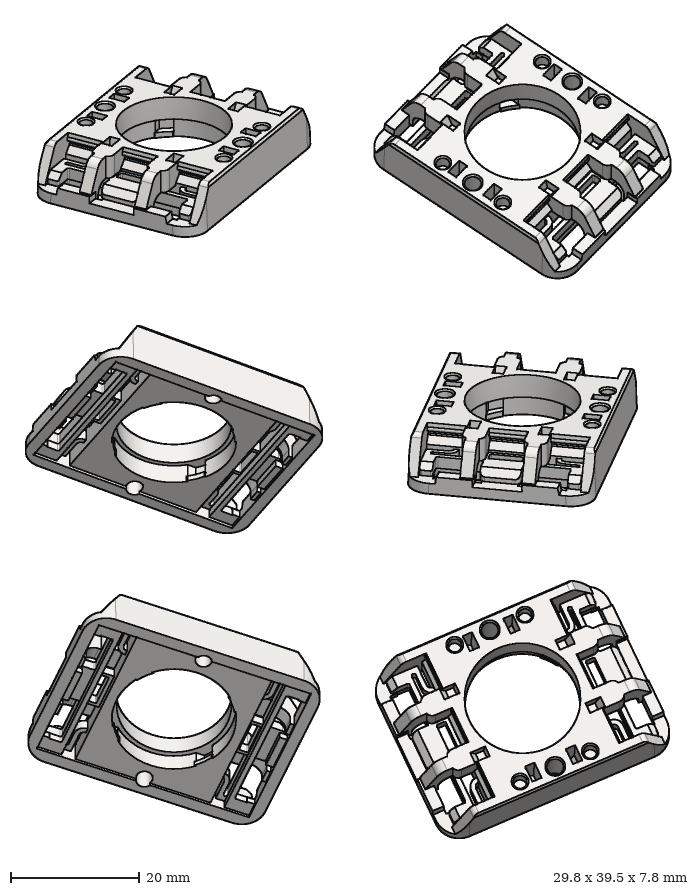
import cadquery as cq
import math

LENGTH = 39.5
WIDTH = 29.8
HEIGHT = 7.8
HALF_LENGTH = LENGTH / 2
HALF_WIDTH = WIDTH / 2
CORNER_RADIUS = 3.95
SIDE_DRAFT = 0.28
TOP_CHAMFER_WIDTH = 0.28
TOP_CHAMFER_HEIGHT = 0.47

SLOPE_ANGLE = math.radians(61.3)
WALL_FOOT_Y = 17.95
WALL_ROUND_RADIUS = 1.1
RIB_FOOT_Y = 19.3
RIB_TOE_HEIGHT = 0.1
RIB_ROUND_RADIUS = 1.98

OPENING_HALF_WIDTH = 12.9
OPENING_OUTER_Y = 17.8
BACK_WALL_Y = 11.35
LOW_RAIL_Z = 1.8
HIGH_RAIL_Z = 3.0
RAIL_NOTCH_HALF_WIDTH = 3.95
RAIL_OUTER_X = 9.65
RAIL_END_LEAN = 0.25

LIP_TOP_Y = 10.63
LIP_FACE_Y = 10.75
LIP_FACE_Z = 7.07
LIP_NOSE_Y = 10.9
LIP_NOSE_Z = 6.8
LIP_UNDER_Z = 6.32
GROOVE_Y = 10.15
GROOVE_BOTTOM_Z = 5.75
RAMP_TOP_Y = 10.27
RAMP_TOP_Z = 5.5
RAMP_FOOT_Z = 4.35

RIB_SPACING = 9.85
RIB_X = RIB_SPACING / 2
RIB_WIDTH = 2.1
RIB_HALF_WIDTH = RIB_WIDTH / 2
RIB_ROOT_WIDTH = 3.67
RIB_ROOT_HALF_WIDTH = RIB_ROOT_WIDTH / 2
RIB_ROOT_RADIUS = 1.22
RIB_ROOT_Y = 13.5
RIB_START_Y = 9.88
RIB_LEG_Y = 17.15
RIB_LEG_RADIUS = 2.05

LATCH_TOP_Z = 3.95
LATCH_BOTTOM_Z = 1.98
LATCH_HALF_WIDTH = 12.8
BAR_INNER_Y = 13.65
BAR_OUTER_Y = 14.55
NOSE_START_Y = 16.47
ARM_INNER_X = 10.75
ARM_TIP_Y = 17.55
ARM_CORNER_RADIUS = 0.3
TONGUE_WIDTH = 6.45
TONGUE_HALF_WIDTH = TONGUE_WIDTH / 2
TONGUE_TIP_Y = 17.65
TONGUE_CORNER_RADIUS = 0.8
CORNER_REACH = 0.05
WINDOW_HALF_WIDTH = 2.7
WINDOW_INNER_Y = 11.95
WINDOW_OUTER_Y = 13.5
WINDOW_CORNER_RADIUS = 0.2
SLOT_END_X = 11.85
BAR_CORNER_RADIUS = 0.28
SPRING_INNER_Y = 12.15
SPRING_OUTER_Y = 13.0
SPRING_TIP_X = 7.75
SPRING_OUTER_RADIUS = 1.58

PAD_INNER_Y = 16.6
CORNER_PAD_X = 10.6
CENTRE_PAD_HALF_WIDTH = 2.9

BORE_TOP_RADIUS = 9.05
BORE_RADIUS = 8.93
LOWER_BORE_RADIUS = 9.68
LOWER_BORE_TOP_Z = 3.95

NOTCH_INNER_X = 4.8
NOTCH_OUTER_X = 7.1
NOTCH_RADIUS = 10.65
LUG_RADIUS = 9.48
LUG_TOP_Z = 1.5

UNDERSIDE_Z = 0.55

HOLE_X = 12.32
HOLE_RADIUS = 1.3
HOLE_RIM_RADIUS = 1.58
DIMPLE_Y = 6.0
DIMPLE_RADIUS = 1.05
DIMPLE_RIM_RADIUS = 1.35
DIMPLE_DEPTH = 2.37

POCKET_X = 11.77
POCKET_WIDTH = 2.73
POCKET_INNER_Y = 2.7
POCKET_OUTER_Y = 4.25
POCKET_DEPTH = 5.53
POCKET_TAPER = 3.0

SNAP_X = 5.7
SNAP_WIDTH = 1.75
SNAP_FLOOR_Z = 6.05
SNAP_INNER_Y = 8.57
SNAP_FLOOR_INNER_Y = 8.85
SNAP_FLOOR_OUTER_Y = 10.2
SNAP_OUTER_Y = 11.15


def box(x_range, y_range, z_range):
    """A box between two limits along each axis."""
    lows, highs = zip(x_range, y_range, z_range)
    sizes = [high - low for low, high in zip(lows, highs)]
    return cq.Workplane("XY").box(*sizes, centered=False).translate(lows)


def across(profile, half_width, centre_x=0.0):
    """Extrude a closed (Y, Z) profile along X, to half_width on each side of centre_x."""
    return profile.extrude(half_width, both=True).translate((centre_x, 0, 0))


def both_ends(body):
    """A body at the +Y end with its mirror image at the -Y end."""
    return body.union(body.mirror("XZ"))


def both_sides(body):
    """A body at the +X side with its mirror image at the -X side."""
    return body.union(body.mirror("YZ"))


def sloped_end(sketch, foot_y, foot_z, radius):
    """Continue a (Y, Z) outline up an end slope from its foot and round it into the top face."""
    crest_y = foot_y - (HEIGHT - foot_z) / math.tan(SLOPE_ANGLE)
    tangent = radius * math.tan(SLOPE_ANGLE / 2)
    slope_end = (crest_y + tangent * math.cos(SLOPE_ANGLE), HEIGHT - tangent * math.sin(SLOPE_ANGLE))
    centre_y = crest_y - tangent
    half_angle = SLOPE_ANGLE / 2
    middle = (
        centre_y + radius * math.sin(half_angle),
        HEIGHT - radius + radius * math.cos(half_angle),
    )
    return sketch.lineTo(foot_y, foot_z).lineTo(*slope_end).threePointArc(middle, (centre_y, HEIGHT))


def round_bar_corners(body):
    """Fillet the vertical inside corners along the outer edge of a latch bar or cross bar."""
    inner_corners = cq.selectors.BoxSelector(
        (-LATCH_HALF_WIDTH, BAR_OUTER_Y - CORNER_REACH, 0),
        (LATCH_HALF_WIDTH, BAR_OUTER_Y + CORNER_REACH, HEIGHT),
    )
    return body.edges("|Z").edges(inner_corners).fillet(BAR_CORNER_RADIUS)


def shell_blank():
    """Rounded slab with leaning long sides, chamfered top edges and sloped ends."""
    top_half_width = HALF_WIDTH - SIDE_DRAFT
    bottom = cq.Sketch().rect(WIDTH, LENGTH).vertices().fillet(CORNER_RADIUS)
    top = cq.Sketch().rect(2 * top_half_width, LENGTH).vertices().fillet(CORNER_RADIUS)
    slab = cq.Workplane("XY").placeSketch(bottom, top.moved(cq.Location(cq.Vector(0, 0, HEIGHT)))).loft()

    chamfer_x = top_half_width - TOP_CHAMFER_WIDTH
    outer_x = HALF_WIDTH + TOP_CHAMFER_WIDTH
    outer_z = HEIGHT - (outer_x - chamfer_x) * TOP_CHAMFER_HEIGHT / TOP_CHAMFER_WIDTH
    section = (
        cq.Workplane("XZ")
        .polyline([
            (-outer_x, 0), (outer_x, 0), (outer_x, outer_z),
            (chamfer_x, HEIGHT), (-chamfer_x, HEIGHT), (-outer_x, outer_z),
        ])
        .close()
        .extrude(HALF_LENGTH, both=True)
    )
    half = cq.Workplane("YZ").moveTo(0, 0).lineTo(HALF_LENGTH, 0).lineTo(HALF_LENGTH, LOW_RAIL_Z)
    half = sloped_end(half, WALL_FOOT_Y, LOW_RAIL_Z, WALL_ROUND_RADIUS).lineTo(0, HEIGHT).close()
    ends = both_ends(across(half, HALF_WIDTH))
    return slab.intersect(section).intersect(ends)


def end_opening():
    """Space cut out at the +Y end, with a snap lip, groove and ramp down its back wall."""
    profile = (
        cq.Workplane("YZ")
        .moveTo(OPENING_OUTER_Y, 0)
        .lineTo(BACK_WALL_Y, 0)
        .lineTo(BACK_WALL_Y, RAMP_FOOT_Z)
        .lineTo(RAMP_TOP_Y, RAMP_TOP_Z)
        .lineTo(GROOVE_Y, GROOVE_BOTTOM_Z)
        .lineTo(GROOVE_Y, LIP_UNDER_Z)
        .lineTo(LIP_TOP_Y, LIP_UNDER_Z)
        .threePointArc((LIP_NOSE_Y, LIP_NOSE_Z), (LIP_FACE_Y, LIP_FACE_Z))
        .lineTo(LIP_TOP_Y, HEIGHT)
        .lineTo(WALL_FOOT_Y, HEIGHT)
        .lineTo(WALL_FOOT_Y, LOW_RAIL_Z)
        .lineTo(OPENING_OUTER_Y, LOW_RAIL_Z)
        .close()
    )
    return across(profile, OPENING_HALF_WIDTH)


def rail_block():
    """Raised part of the +Y rail on the +X side, between the tongue notch and the corner."""
    return (
        cq.Workplane("XZ", origin=(0, HALF_LENGTH, 0))
        .polyline([
            (RAIL_NOTCH_HALF_WIDTH, 0),
            (RAIL_OUTER_X + RAIL_END_LEAN, 0),
            (RAIL_OUTER_X + RAIL_END_LEAN, LOW_RAIL_Z),
            (RAIL_OUTER_X, HIGH_RAIL_Z),
            (RAIL_NOTCH_HALF_WIDTH, HIGH_RAIL_Z),
        ])
        .close()
        .extrude(HALF_LENGTH - OPENING_OUTER_Y)
    )


def rib():
    """Rib at the +X, +Y place: wide at its root, narrow and sloped towards the rail."""
    side = (
        cq.Workplane("YZ")
        .moveTo(RIB_START_Y, HEIGHT)
        .lineTo(RIB_START_Y, LATCH_TOP_Z)
        .lineTo(RIB_LEG_Y - RIB_LEG_RADIUS, LATCH_TOP_Z)
        .radiusArc((RIB_LEG_Y, LATCH_TOP_Z - RIB_LEG_RADIUS), RIB_LEG_RADIUS)
        .lineTo(RIB_LEG_Y, 0)
        .lineTo(OPENING_OUTER_Y, 0)
        .lineTo(OPENING_OUTER_Y, HIGH_RAIL_Z)
        .lineTo(RIB_FOOT_Y, HIGH_RAIL_Z)
    )
    side = sloped_end(side, RIB_FOOT_Y, HIGH_RAIL_Z + RIB_TOE_HEIGHT, RIB_ROUND_RADIUS).close()
    run = RIB_ROOT_RADIUS - (RIB_ROOT_HALF_WIDTH - RIB_HALF_WIDTH)
    neck_y = RIB_ROOT_Y + math.sqrt(RIB_ROOT_RADIUS**2 - run**2)
    plan = (
        cq.Workplane("XY")
        .moveTo(-RIB_ROOT_HALF_WIDTH, RIB_START_Y)
        .lineTo(RIB_ROOT_HALF_WIDTH, RIB_START_Y)
        .lineTo(RIB_ROOT_HALF_WIDTH, RIB_ROOT_Y)
        .radiusArc((RIB_HALF_WIDTH, neck_y), -RIB_ROOT_RADIUS)
        .lineTo(RIB_HALF_WIDTH, HALF_LENGTH)
        .lineTo(-RIB_HALF_WIDTH, HALF_LENGTH)
        .lineTo(-RIB_HALF_WIDTH, neck_y)
        .radiusArc((-RIB_ROOT_HALF_WIDTH, RIB_ROOT_Y), -RIB_ROOT_RADIUS)
        .close()
        .extrude(HEIGHT)
    )
    return plan.intersect(across(side, RIB_ROOT_HALF_WIDTH)).translate((RIB_X, 0, 0))


def latch_supports():
    """Cross bar and tip pads that carry the latch at the +Y end."""
    pad_y = (PAD_INNER_Y, OPENING_OUTER_Y)
    pad_z = (0, LOW_RAIL_Z)
    cross_bar = box(
        (-OPENING_HALF_WIDTH, OPENING_HALF_WIDTH), (BAR_INNER_Y, BAR_OUTER_Y), (0, LATCH_BOTTOM_Z)
    )
    centre_pad = box((-CENTRE_PAD_HALF_WIDTH, CENTRE_PAD_HALF_WIDTH), pad_y, pad_z)
    corner_pads = both_sides(box((CORNER_PAD_X, OPENING_HALF_WIDTH), pad_y, pad_z))
    arm_pads = both_sides(
        box((ARM_INNER_X, OPENING_HALF_WIDTH), (BAR_INNER_Y, PAD_INNER_Y), (0, LATCH_BOTTOM_Z))
    )
    frame = round_bar_corners(cross_bar.union(arm_pads))
    return frame.union(centre_pad).union(corner_pads)


def bore():
    """Slightly conical bore that opens into a wider lower bore."""
    return (
        cq.Workplane("XZ")
        .polyline([
            (0, 0), (LOWER_BORE_RADIUS, 0), (LOWER_BORE_RADIUS, LOWER_BORE_TOP_Z),
            (BORE_RADIUS, LOWER_BORE_TOP_Z), (BORE_TOP_RADIUS, HEIGHT), (0, HEIGHT),
        ])
        .close()
        .revolve(360, (0, 0, 0), (0, 1, 0))
    )


def ring_sector(inner_radius, outer_radius, bottom_z, top_z):
    """Slice of a ring about the Z axis, at the +X, +Y notch place."""
    ring = (
        cq.Workplane("XY", origin=(0, 0, bottom_z))
        .circle(outer_radius)
        .circle(inner_radius)
        .extrude(top_z - bottom_z)
    )
    return ring.intersect(box((NOTCH_INNER_X, NOTCH_OUTER_X), (0, HALF_LENGTH), (0, HEIGHT)))


def rimmed_hole(radius, rim_radius, depth):
    """Round hole from the top face with a 45 degree rim, centred on the Z axis."""
    return (
        cq.Workplane("XZ")
        .polyline([
            (0, HEIGHT - depth), (radius, HEIGHT - depth), (radius, HEIGHT - rim_radius + radius),
            (rim_radius, HEIGHT), (0, HEIGHT),
        ])
        .close()
        .revolve(360, (0, 0, 0), (0, 1, 0))
    )


def pocket():
    """Tapered pocket at the +X, +Y place, its floor rising at 45 degrees towards +Y."""
    depth_change = POCKET_OUTER_Y - POCKET_INNER_Y
    mouth = (
        cq.Workplane("XY", origin=(POCKET_X, (POCKET_INNER_Y + POCKET_OUTER_Y) / 2, HEIGHT))
        .rect(POCKET_WIDTH, depth_change)
        .extrude(-POCKET_DEPTH, taper=POCKET_TAPER)
    )
    floor_z = HEIGHT - POCKET_DEPTH
    above_floor = (
        cq.Workplane("YZ")
        .polyline([
            (POCKET_INNER_Y, floor_z), (POCKET_OUTER_Y, floor_z + depth_change),
            (POCKET_OUTER_Y, HEIGHT), (POCKET_INNER_Y, HEIGHT),
        ])
        .close()
    )
    return mouth.intersect(across(above_floor, POCKET_WIDTH / 2, POCKET_X))


def snap_window():
    """Shallow flat-floored window with sloping ends at the +X, +Y place."""
    profile = (
        cq.Workplane("YZ")
        .polyline([
            (SNAP_INNER_Y, HEIGHT), (SNAP_FLOOR_INNER_Y, SNAP_FLOOR_Z),
            (SNAP_FLOOR_OUTER_Y, SNAP_FLOOR_Z), (SNAP_OUTER_Y, HEIGHT),
        ])
        .close()
    )
    return across(profile, SNAP_WIDTH / 2, SNAP_X)


def make_housing():
    """The frame that carries both latches."""
    body = shell_blank().cut(both_ends(end_opening()))
    end_parts = latch_supports().union(both_sides(rail_block())).union(both_sides(rib()))
    body = body.union(both_ends(end_parts)).cut(bore())
    lug = ring_sector(LUG_RADIUS, NOTCH_RADIUS, 0, LUG_TOP_Z)
    body = body.union(both_ends(both_sides(lug)))
    underside = box(
        (-OPENING_HALF_WIDTH, OPENING_HALF_WIDTH), (-OPENING_OUTER_Y, OPENING_OUTER_Y), (0, UNDERSIDE_Z)
    )
    body = body.cut(underside)

    through_hole = rimmed_hole(HOLE_RADIUS, HOLE_RIM_RADIUS, HEIGHT).translate((HOLE_X, 0, 0))
    dimple = rimmed_hole(DIMPLE_RADIUS, DIMPLE_RIM_RADIUS, DIMPLE_DEPTH).translate((HOLE_X, DIMPLE_Y, 0))
    body = body.cut(both_sides(through_hole))
    notch = ring_sector(BORE_RADIUS, NOTCH_RADIUS, LUG_TOP_Z, LOWER_BORE_TOP_Z)
    for recess in (dimple, pocket(), snap_window(), notch):
        body = body.cut(both_ends(both_sides(recess)))
    return body


def nose(half_width, centre_x, tip_y, corner_radius):
    """Latch finger from the bar to its tip, with rounded tip corners and a 45 degree nose."""
    finger = (
        box((-half_width, half_width), (BAR_INNER_Y, tip_y), (LATCH_BOTTOM_Z, LATCH_TOP_Z))
        .edges("|Z and >Y")
        .fillet(corner_radius)
    )
    drop = tip_y - NOSE_START_Y
    ramp = (
        cq.Workplane("YZ")
        .polyline([(NOSE_START_Y, LATCH_TOP_Z), (tip_y, LATCH_TOP_Z), (tip_y, LATCH_TOP_Z - drop)])
        .close()
    )
    return finger.cut(across(ramp, half_width)).translate((centre_x, 0, 0))


def spring():
    """Bent leaf spring on the +X side, from the arm to the back wall."""
    inner_radius = SPRING_OUTER_RADIUS - (SPRING_OUTER_Y - SPRING_INNER_Y)
    bend_x = SPRING_TIP_X + SPRING_OUTER_RADIUS
    bend_y = SPRING_OUTER_Y - SPRING_OUTER_RADIUS
    slot_radius = (BAR_INNER_Y - SPRING_OUTER_Y) / 2
    return (
        cq.Workplane("XY", origin=(0, 0, LATCH_BOTTOM_Z))
        .moveTo(LATCH_HALF_WIDTH, SPRING_INNER_Y)
        .lineTo(bend_x, SPRING_INNER_Y)
        .radiusArc((bend_x - inner_radius, bend_y), -inner_radius)
        .lineTo(bend_x - inner_radius, BACK_WALL_Y)
        .lineTo(SPRING_TIP_X, BACK_WALL_Y)
        .lineTo(SPRING_TIP_X, bend_y)
        .radiusArc((bend_x, SPRING_OUTER_Y), SPRING_OUTER_RADIUS)
        .lineTo(SLOT_END_X - slot_radius, SPRING_OUTER_Y)
        .radiusArc((SLOT_END_X - slot_radius, BAR_INNER_Y), -slot_radius)
        .lineTo(LATCH_HALF_WIDTH, BAR_INNER_Y)
        .close()
        .extrude(LATCH_TOP_Z - LATCH_BOTTOM_Z)
    )


def make_latch():
    """Sliding latch of the +Y end: bar, tongue with a window, two arms and two springs."""
    thickness = (LATCH_BOTTOM_Z, LATCH_TOP_Z)
    bar = box((-LATCH_HALF_WIDTH, LATCH_HALF_WIDTH), (BAR_INNER_Y, BAR_OUTER_Y), thickness)
    tongue = nose(TONGUE_HALF_WIDTH, 0, TONGUE_TIP_Y, TONGUE_CORNER_RADIUS)
    tongue_root = box((-TONGUE_HALF_WIDTH, TONGUE_HALF_WIDTH), (BACK_WALL_Y, BAR_INNER_Y), thickness)
    window = (
        box((-WINDOW_HALF_WIDTH, WINDOW_HALF_WIDTH), (WINDOW_INNER_Y, WINDOW_OUTER_Y), thickness)
        .edges("|Z")
        .fillet(WINDOW_CORNER_RADIUS)
    )
    arm_half_width = (LATCH_HALF_WIDTH - ARM_INNER_X) / 2
    arm = nose(arm_half_width, ARM_INNER_X + arm_half_width, ARM_TIP_Y, ARM_CORNER_RADIUS)
    flank = both_sides(arm.union(spring()))
    plate = bar.union(tongue).union(tongue_root).union(flank)
    return round_bar_corners(plate).cut(window)


housing = make_housing()
latches = [make_latch().rotate((0, 0, 0), (0, 0, 1), turn).val() for turn in (0, 180)]

result = cq.Compound.makeCompound([housing.val(), *latches])